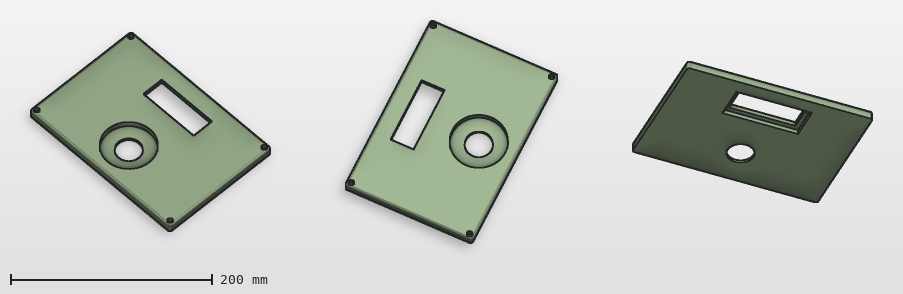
import cadquery as cq

LENGTH = 200.0
WIDTH = 140.0
THICKNESS = 10.0
CORNER_RADIUS = 3.0
TOP_EDGE_RADIUS = 2.0

DIAL_Y = -30.0
RECESS_DIAMETER = 58.0
RECESS_DEPTH = 7.0
HOLE_DIAMETER = 28.0

WINDOW_LENGTH = 71.5
WINDOW_WIDTH = 25.2
WINDOW_X = 0.2
WINDOW_Y = 37.5
WINDOW_WALL = 5.0
POCKET_DEPTH = THICKNESS - WINDOW_WALL
POCKET_MARGIN = POCKET_DEPTH

CORNER_HOLE_DIAMETER = 6.0
CORNER_HOLE_DEPTH = RECESS_DEPTH
CORNER_HOLE_INSET = 5.0


def make_plate():
    plate = cq.Workplane("XY").box(LENGTH, WIDTH, THICKNESS, centered=(True, True, False))
    plate = plate.edges("|Z").fillet(CORNER_RADIUS)
    return plate.faces(">Z").edges().fillet(TOP_EDGE_RADIUS)


def make_dial_seat():
    recess = (
        cq.Workplane("XY", origin=(0, DIAL_Y, THICKNESS))
        .circle(RECESS_DIAMETER / 2)
        .extrude(-RECESS_DEPTH)
    )
    hole = cq.Workplane("XY", origin=(0, DIAL_Y, 0)).circle(HOLE_DIAMETER / 2).extrude(THICKNESS)
    return recess.union(hole)


def make_window():
    base = cq.Workplane("XY", origin=(WINDOW_X, WINDOW_Y, 0))
    opening = base.rect(WINDOW_LENGTH, WINDOW_WIDTH).extrude(THICKNESS)
    pocket = base.rect(
        WINDOW_LENGTH + 2 * POCKET_MARGIN,
        WINDOW_WIDTH + 2 * POCKET_MARGIN,
    ).extrude(POCKET_DEPTH)
    return opening.union(pocket)


def make_corner_holes():
    return (
        cq.Workplane("XY", origin=(0, 0, THICKNESS))
        .rect(LENGTH - 2 * CORNER_HOLE_INSET, WIDTH - 2 * CORNER_HOLE_INSET, forConstruction=True)
        .vertices()
        .circle(CORNER_HOLE_DIAMETER / 2)
        .extrude(-CORNER_HOLE_DEPTH)
    )


result = make_plate().cut(make_dial_seat()).cut(make_window()).cut(make_corner_holes())